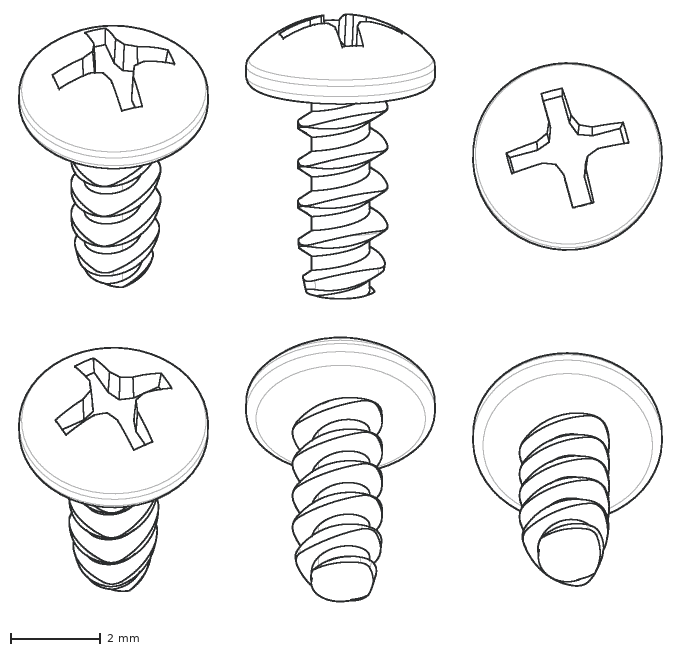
import cadquery as cq
import math

shank_length = 4.755
shank_radius = 0.65

head_diameter = 4.24
head_radius = head_diameter / 2
bottom_round = 0.22
band_top = 0.45
rim_height = 0.59
rim_radius = 2.065
dome_radius = 2.7
dome_height = 1.575

recess_floor = shank_length + 0.765
recess_top = shank_length + dome_height + 0.06
recess_reach = 1.28
recess_half_width = 0.22
web_start = 0.64
web_corner = 0.33
side_draft = 0.05
tip_draft = 0.18

pitch = 0.91
thread_turns = 7
thread_start = -1.12
ridge_radius = 1.1
thread_base_width = 0.59
root_overlap = 0.03

lobe_distance = 0.61
lobe_radius = 0.48
lobe_count = 3
lobe_spacing = 360 / lobe_count
lobe_half_sweep = 30
first_lobe_angle = 90
taper_length = 1.51
taper_depth = 0.2
taper_steps = 4
thread_top = shank_length + 0.125


def make_head():
    """Revolved head with rounded rim and spherical dome."""
    dome_middle = rim_radius / 2
    dome_centre = dome_height - dome_radius
    dome_middle_height = dome_centre + math.sqrt(dome_radius**2 - dome_middle**2)
    return (
        cq.Workplane("XZ")
        .lineTo(head_radius - bottom_round, 0)
        .radiusArc((head_radius, bottom_round), -bottom_round)
        .lineTo(head_radius, band_top)
        .tangentArcPoint((rim_radius, rim_height), relative=False)
        .threePointArc((dome_middle, dome_middle_height), (0, dome_height))
        .close()
        .revolve(360, (0, 0), (0, 1))
        .translate((0, 0, shank_length))
    )


def cross_section(height):
    """Closed recess outline at the given height, as a wire."""
    rise = height - recess_floor
    reach = recess_reach + tip_draft * rise
    half_width = recess_half_width + side_draft * rise
    corner = web_corner + side_draft * rise
    quarter = [(reach, half_width), (web_start, half_width), (corner, corner),
               (half_width, web_start), (half_width, reach)]
    outline = []
    for _ in range(4):
        outline += quarter
        quarter = [(-y, x) for x, y in quarter]
    points = [cq.Vector(x, y, height) for x, y in outline]
    return cq.Wire.makePolygon(points, close=True)


def make_recess():
    """Drafted cross-shaped cutter."""
    sections = [cross_section(recess_floor), cross_section(recess_top)]
    return cq.Workplane(cq.Solid.makeLoft(sections, True))


def polar(radius, angle):
    """Point at a radius and an angle in degrees."""
    return radius * math.cos(math.radians(angle)), radius * math.sin(math.radians(angle))


def crest_section(height, inset):
    """Three-lobed outline: small arcs around the lobes joined by wide flank arcs."""
    small_radius = lobe_radius - inset
    lobe_tip = lobe_distance + small_radius
    flank_middle = small_radius + (math.sqrt(3) - 1) * lobe_distance

    def lobe_end(lobe_angle, side):
        centre_x, centre_y = polar(lobe_distance, lobe_angle)
        end_x, end_y = polar(small_radius, lobe_angle + lobe_half_sweep * side)
        return centre_x + end_x, centre_y + end_y

    outline = cq.Workplane("XY", origin=(0, 0, height)).moveTo(*lobe_end(first_lobe_angle, -1))
    for step in range(lobe_count):
        angle = first_lobe_angle + lobe_spacing * step
        outline = outline.threePointArc(polar(lobe_tip, angle), lobe_end(angle, 1))
        flank_point = polar(flank_middle, angle + lobe_spacing / 2)
        outline = outline.threePointArc(flank_point, lobe_end(angle + lobe_spacing, -1))
    return outline.close()


def make_crest_envelope():
    """Lobed prism above a tip whose sides curve inwards."""
    sections = []
    for step in range(taper_steps + 1):
        height = taper_length * step / taper_steps
        inset = taper_depth * (1 - step / taper_steps) ** 2
        sections.append(crest_section(height, inset).val())
    tip = cq.Workplane(cq.Solid.makeLoft(sections))
    prism = crest_section(taper_length, 0).extrude(thread_top - taper_length)
    return prism.union(tip)


def make_ridge():
    """Right-handed V ridge, longer than the shank at both ends."""
    inner_radius = shank_radius - root_overlap
    flank_slope = thread_base_width / 2 / (ridge_radius - shank_radius)
    half_base = flank_slope * (ridge_radius - inner_radius)
    path = cq.Wire.makeHelix(pitch, pitch * thread_turns, shank_radius)
    return (
        cq.Workplane("XZ")
        .polyline([(inner_radius, -half_base), (ridge_radius, 0), (inner_radius, half_base)])
        .close()
        .sweep(cq.Workplane(path), isFrenet=True)
        .translate((0, 0, thread_start))
    )


def make_threaded_shank():
    """Core and ridge, overlong and then trimmed together to the crest envelope."""
    core_bottom = thread_start - pitch
    core_length = pitch * (thread_turns + 2)
    core = cq.Workplane("XY", origin=(0, 0, core_bottom)).circle(shank_radius).extrude(core_length)
    return core.union(make_ridge()).intersect(make_crest_envelope())


head = make_head().cut(make_recess())
result = make_threaded_shank().union(head)